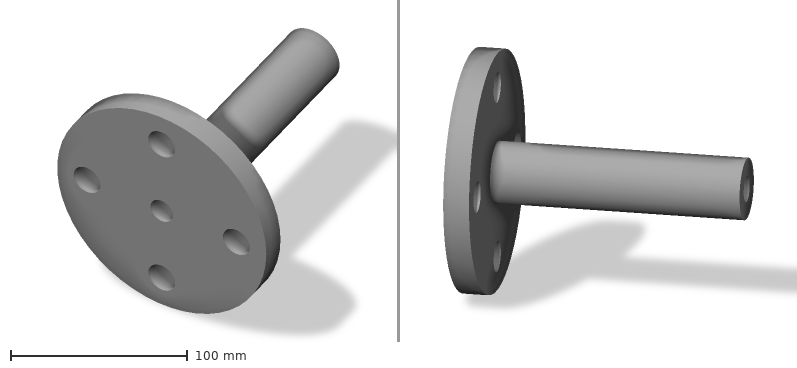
import cadquery as cq

flange_diameter = 140.0
flange_thickness = 15.0

overall_length = 160.0
tube_diameter = 35.5
bore_diameter = 15.0

bolt_hole_count = 4
bolt_hole_diameter = 18.0
bolt_circle_diameter = 100.0


def cylinder_along_y(diameter, length):
    """Solid cylinder on the Y axis, from y = 0 to y = length."""
    return cq.Workplane("XZ").circle(diameter / 2).extrude(-length)


def bolt_holes():
    """Cutting cylinders for the bolt holes, as deep as the flange."""
    return (
        cq.Workplane("XZ")
        .polarArray(bolt_circle_diameter / 2, 0, 360, bolt_hole_count)
        .circle(bolt_hole_diameter / 2)
        .extrude(-flange_thickness)
    )


flange = cylinder_along_y(flange_diameter, flange_thickness).cut(bolt_holes())
tube = cylinder_along_y(tube_diameter, overall_length)
bore = cylinder_along_y(bore_diameter, overall_length)

result = flange.union(tube).cut(bore)